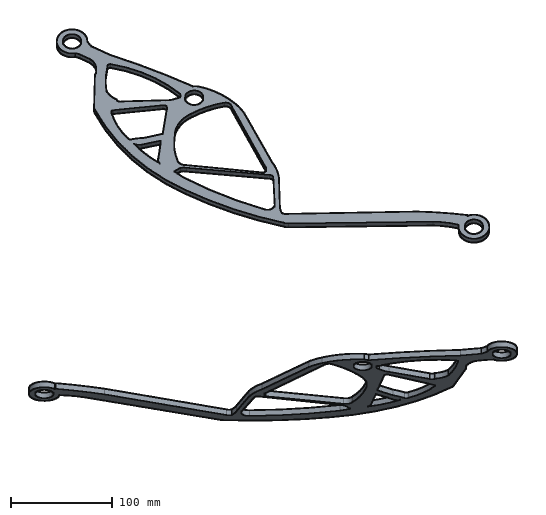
import cadquery as cq

LENGTH = 490.0
THICKNESS = 6.5
EYE_DIAMETER = 30.5
HOLE_DIAMETER = 18.0
PIVOT_X = 139.5

RIGHT_EYE_X = LENGTH - EYE_DIAMETER
EYE_CENTRES = [(0, 0), (RIGHT_EYE_X, 0)]
HOLE_CENTRES = EYE_CENTRES + [(PIVOT_X, 0)]


ARM_START = (8.0, 12.5)
ARM_SEGMENTS = [
    [(12.2, 8.5), (19.5, 4.5)],
    [(40.5, 4.5)],
    [(78.5, 9.0), (131.5, 12.0)],
    [(135.0, 14.0)],
    [(156.5, 17.0), (178.0, 14.0)],
    [(185.0, 12.0), (192.0, 8.5)],
    [(247.0, -31.0)],
    [(256.2, -37.0), (262.5, -44.0)],
    [(281.0, -74.0)],
    [(284.0, -78.0), (287.0, -81.0)],
    [(289.5, -81.0), (292.5, -79.5)],
    [(402.0, -12.0)],
    [(423.0, -1.0), (446.5, 9.5)],
    [(RIGHT_EYE_X, 0)],
    [(448.0, -6.0)],
    [(444.0, -6.0)],
    [(436.0, -8.5), (421.5, -15.0)],
    [(300.0, -89.0)],
    [(298.0, -90.0), (295.5, -90.5)],
    [(245.0, -101.0), (191.0, -104.5)],
    [(122.5, -93.5), (63.0, -62.5)],
    [(61.0, -61.0), (59.5, -58.5)],
    [(40.5, -25.0)],
    [(35.5, -14.0), (26.5, -10.5)],
    [(14.5, -10.5)],
    [(10.0, -11.5), (5.0, -13.5)],
    [(0, 0)],
]

UPPER_LEFT_WINDOW = (47.0, -5.5), [
    [(83.5, 1.5), (125.5, -3.0)],
    [(127.0, -6.0), (125.0, -9.5)],
    [(121.5, -13.5), (116.5, -17.0)],
    [(80.5, -40.0)],
    [(78.0, -41.5), (75.0, -40.5)],
    [(67.5, -39.5), (61.0, -36.5)],
    [(53.5, -25.5), (46.0, -10.0)],
    [(45.5, -7.5), (47.0, -5.5)],
]
LOWER_LEFT_WINDOW = (117.5, -24.0), [
    [(121.0, -23.0), (123.5, -26.0)],
    [(135.5, -55.0)],
    [(123.0, -68.0)],
    [(117.5, -72.0), (112.5, -76.5)],
    [(110.5, -77.5), (109.0, -77.0)],
    [(92.0, -68.5), (79.0, -57.5)],
    [(78.0, -55.5), (79.0, -54.0)],
]
SMALL_WINDOW = (138.5, -63.0), [
    [(147.5, -83.5)],
    [(149.0, -86.0), (152.0, -88.0)],
    [(134.2, -85.3), (117.5, -80.0)],
    [(121.5, -79.5), (125.0, -77.0)],
]
CENTRE_WINDOW = (168.5, 10.0), [
    [(172.5, 11.5), (176.5, 10.0)],
    [(244.0, -39.0)],
    [(247.0, -42.0), (246.0, -46.5)],
    [(174.5, -77.5)],
    [(169.5, -78.5), (165.0, -76.0)],
    [(156.0, -65.5), (148.0, -52.5)],
    [(143.0, -34.5), (147.5, -18.5)],
    [(156.5, -4.0), (168.5, 10.0)],
]
LOWER_RIGHT_WINDOW = (253.0, -46.0), [
    [(256.0, -45.5), (258.0, -47.5)],
    [(275.0, -73.5)],
    [(276.5, -81.5), (270.5, -85.5)],
    [(228.0, -91.0), (181.0, -91.5)],
    [(169.5, -89.5)],
    [(172.5, -83.5)],
    [(174.5, -81.5), (177.5, -80.0)],
]
WINDOWS = [
    UPPER_LEFT_WINDOW,
    LOWER_LEFT_WINDOW,
    SMALL_WINDOW,
    CENTRE_WINDOW,
    LOWER_RIGHT_WINDOW,
]


def outline_plate(start, segments):
    """Extrude a closed outline of lines and arcs to the plate thickness."""
    path = cq.Workplane("XY").moveTo(*start)
    for segment in segments:
        if len(segment) == 1:
            path = path.lineTo(*segment[0])
        else:
            path = path.threePointArc(*segment)
    return path.close().extrude(THICKNESS)


def discs(centres, diameter):
    """Equal discs of the plate thickness at the given centres."""
    return cq.Workplane("XY").pushPoints(centres).circle(diameter / 2).extrude(THICKNESS)


result = outline_plate(ARM_START, ARM_SEGMENTS).union(discs(EYE_CENTRES, EYE_DIAMETER))

for window_start, window_segments in WINDOWS:
    result = result.cut(outline_plate(window_start, window_segments))

result = result.cut(discs(HOLE_CENTRES, HOLE_DIAMETER))